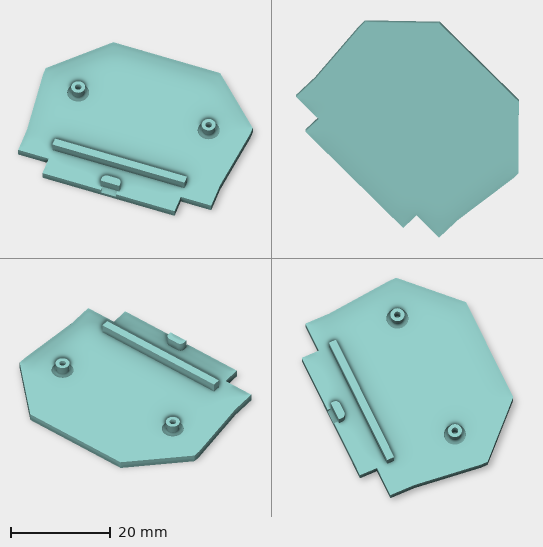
import cadquery as cq

plate_thickness = 1.6
overall_height = 3.5
raised_height = overall_height - plate_thickness
overall_width = 44.0
plate_depth = 35.0
back_edge_width = 22.7
side_top_y = 24.45
side_bottom_y = 22.95
lower_width = 41.0
taper_end_y = 9.0
shoulder_y = 3.75
tab_width = 28.05

rail_front_y = 6.0
rail_depth = 1.55

lug_width = 3.95
lug_front_y = 0.9
lug_depth = 1.65
lug_corner_radius = 0.95
notch_width = 3.15
notch_depth = 0.85

post_spacing = 27.7
post_y = 21.0
post_top_radius = 1.4
post_base_radius = 1.2
groove_outer_radius = 2.2
groove_radius = (groove_outer_radius - post_base_radius) / 2
bore_top_radius = 0.65
bore_bottom_radius = 0.55
bore_depth = raised_height
bore_tip_depth = 0.35


def make_plate():
    right_side = [
        (back_edge_width / 2, plate_depth),
        (overall_width / 2, side_top_y),
        (overall_width / 2, side_bottom_y),
        (lower_width / 2, taper_end_y),
        (lower_width / 2, shoulder_y),
        (tab_width / 2, shoulder_y),
        (tab_width / 2, 0),
    ]
    left_side = [(-x, y) for x, y in reversed(right_side)]
    return cq.Workplane("XY").polyline(right_side + left_side).close().extrude(plate_thickness)


def side_profile_prism(yz_points, width):
    """Extrude a YZ outline symmetrically about X = 0."""
    return cq.Workplane("YZ").polyline(yz_points).close().extrude(width / 2, both=True)


def raised_block(width, front_y, depth):
    return (
        cq.Workplane("XY", origin=(0, front_y + depth / 2, plate_thickness))
        .rect(width, depth)
        .extrude(raised_height)
    )


def make_lug():
    lug = raised_block(lug_width, lug_front_y, lug_depth)
    return lug.edges("|Z and >Y").fillet(lug_corner_radius)


def make_notch():
    return side_profile_prism(
        [
            (0, plate_thickness - notch_depth),
            (lug_front_y, plate_thickness),
            (0, plate_thickness),
        ],
        notch_width,
    )


def add_post(body, x):
    section = cq.Workplane("XZ", origin=(x, post_y, 0))
    groove = (
        section.moveTo(post_base_radius, plate_thickness)
        .threePointArc(
            (post_base_radius + groove_radius, plate_thickness - groove_radius),
            (groove_outer_radius, plate_thickness),
        )
        .close()
        .revolve(360, (0, 0), (0, 1))
    )
    post = (
        section.moveTo(0, plate_thickness)
        .lineTo(post_base_radius, plate_thickness)
        .lineTo(post_top_radius, overall_height)
        .lineTo(0, overall_height)
        .close()
        .revolve(360, (0, 0), (0, 1))
    )
    bore = (
        section.moveTo(0, overall_height - bore_depth - bore_tip_depth)
        .lineTo(bore_bottom_radius, overall_height - bore_depth)
        .lineTo(bore_top_radius, overall_height)
        .lineTo(0, overall_height)
        .close()
        .revolve(360, (0, 0), (0, 1))
    )
    return body.cut(groove).union(post).cut(bore)


result = make_plate().cut(make_notch())
result = result.union(raised_block(tab_width, rail_front_y, rail_depth)).union(make_lug())
for post_x in (-post_spacing / 2, post_spacing / 2):
    result = add_post(result, post_x)